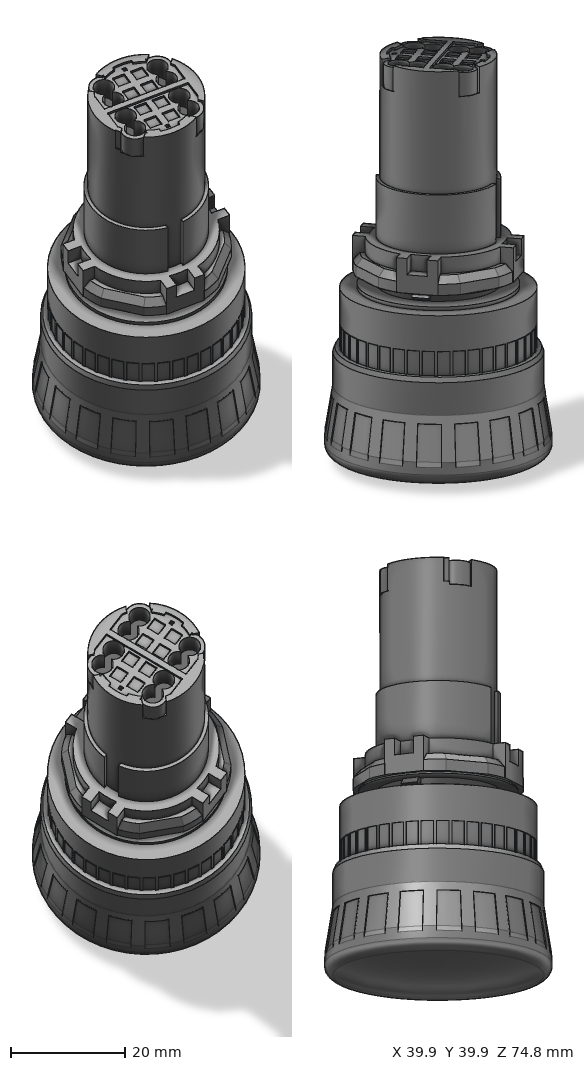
import cadquery as cq
import math

TOTAL_HEIGHT = 74.8
COLLAR_TOP = 52.45
TAB_TOP = 41.7
NUT_SHOULDER = 38.7
NUT_CHAMFER_START = 37.35
NUT_BOTTOM = 35.3
WASHER_BOTTOM = 35.0
GASKET_TOP = 33.0
BODY_TOP = 32.3
KNURL_TOP = 25.75
SKIRT_TOP = 21.3
CONE_TOP = 14.45
CONE_BOTTOM = 6.2
RIM_BOTTOM = 4.0
DOME_HEIGHT = 2.0

BARREL_DIAMETER = 20.5
COLLAR_DIAMETER = 21.85
WASHER_DIAMETER = 28.0
GASKET_DIAMETER = 28.5
BODY_DIAMETER = 34.6
SKIRT_DIAMETER = 37.0
BUTTON_DIAMETER = 39.9

SKIRT_CHAMFER_WIDTH = 0.4
SKIRT_CHAMFER_HEIGHT = 0.9
CONE_DIAMETER = 39.65
DOME_DIAMETER = 37.0

GRIP_COUNT = 18
GRIP_TOP = 12.9
GRIP_BOTTOM = 5.3
GRIP_DEPTH = 0.2
GRIP_ANGLE = 12.8

RIB_COUNT = 40
RIB_WIDTH = 0.5
RIB_HEIGHT = 0.15

NUT_DIAMETER = 29.8
NUT_FLAT_SPAN = 28.7
NUT_CHAMFER_WIDTH = 1.2
HUB_DIAMETER = 25.6
TAB_COUNT = 4
TAB_SPAN = 29.1
TAB_WIDTH = 7.5
TAB_SLOT_WIDTH = 3.6
TAB_SLOT_FLOOR_DIAMETER = 24.25

KEYWAY_WIDTH = 3.0
LUG_WIDTH = 3.1
LUG_ROOT_Y = 10.5
LUG_BACK_Y = 11.4
LUG_TIP_INNER = (11.5, 33.4)
LUG_TIP_OUTER = (12.4, 34.0)
LUG_ROOT_BOTTOM = 34.6

FACE_RECESS = 0.45
RECESS_DIAMETER = 18.2
RECESS_LENGTH = 16.0
LEDGE_DIAMETER = 17.05
LEDGE_START_Y = 1.9
LEDGE_END_Y = 4.2
LEDGE_MIN_X = 6.0
DIVIDER_WIDTH = 1.1
SOCKET_DIAMETER = 3.75
SOCKET_DEPTH = 4.5
SOCKET_INNER_X = 2.3
SOCKET_OUTER_X = 5.75
SOCKET_Y = 5.3
CONTACT_SIZE = 2.3
CONTACT_DEPTH = 0.45
CONTACT_INNER_X = 2.2
CONTACT_OUTER_X = 5.8
CONTACT_Y = 1.8
PIN_HOLE_SIZE = 0.7
PIN_HOLE_DEPTH = 1.5
PIN_HOLE_X = 7.9

SLOT_WIDTH = 4.2
SLOT_BOTTOM = 70.05
TUBE_DIAMETER = 5.3

STEP_BOTTOM = 70.6
STEP_WIDTH = 1.0
STEP_DEPTH = 0.2

FACE_Z = TOTAL_HEIGHT - FACE_RECESS


def disc(diameter, bottom, top):
    return cq.Workplane("XY").workplane(offset=bottom).circle(diameter / 2).extrude(top - bottom)


def block(x_range, y_range, z_range):
    x0, x1 = x_range
    y0, y1 = y_range
    z0, z1 = z_range
    return cq.Workplane("XY").box(x1 - x0, y1 - y0, z1 - z0, centered=False).translate((x0, y0, z0))


def holes(size, depth, points, square=False):
    plane = cq.Workplane("XY").workplane(offset=FACE_Z).pushPoints(points)
    outline = plane.rect(size, size) if square else plane.circle(size / 2)
    return outline.extrude(-depth)


def mirrored(xs, y):
    return [(sx * x, sy * y) for x in xs for sx in (-1, 1) for sy in (-1, 1)]


def turned_body():
    skirt_radius = SKIRT_DIAMETER / 2
    profile = (
        cq.Workplane("XZ")
        .moveTo(0, TOTAL_HEIGHT)
        .lineTo(BARREL_DIAMETER / 2, TOTAL_HEIGHT)
        .lineTo(BARREL_DIAMETER / 2, COLLAR_TOP)
        .lineTo(COLLAR_DIAMETER / 2, COLLAR_TOP)
        .lineTo(COLLAR_DIAMETER / 2, GASKET_TOP)
        .lineTo(GASKET_DIAMETER / 2, GASKET_TOP)
        .lineTo(GASKET_DIAMETER / 2, BODY_TOP)
        .lineTo(BODY_DIAMETER / 2, BODY_TOP)
        .lineTo(BODY_DIAMETER / 2, SKIRT_TOP)
        .lineTo(skirt_radius - SKIRT_CHAMFER_WIDTH, SKIRT_TOP)
        .lineTo(skirt_radius, SKIRT_TOP - SKIRT_CHAMFER_HEIGHT)
        .lineTo(skirt_radius, CONE_TOP)
        .lineTo(CONE_DIAMETER / 2, CONE_BOTTOM)
        .lineTo(BUTTON_DIAMETER / 2, RIM_BOTTOM)
        .tangentArcPoint((DOME_DIAMETER / 2, DOME_HEIGHT), relative=False)
    )
    dome_radius = ((DOME_DIAMETER / 2) ** 2 + DOME_HEIGHT**2) / (2 * DOME_HEIGHT)
    half_angle = math.asin(DOME_DIAMETER / 2 / dome_radius) / 2
    dome_middle = (dome_radius * math.sin(half_angle), dome_radius * (1 - math.cos(half_angle)))
    return profile.threePointArc(dome_middle, (0, 0)).close().revolve(360, (0, 0), (0, 1))


def grip_cutter():
    def cone_radius(z):
        fall = (CONE_TOP - z) / (CONE_TOP - CONE_BOTTOM)
        return (SKIRT_DIAMETER + fall * (CONE_DIAMETER - SKIRT_DIAMETER)) / 2

    rim_slope = (BUTTON_DIAMETER - CONE_DIAMETER) / 2 / (CONE_BOTTOM - RIM_BOTTOM)
    rim_radius = CONE_DIAMETER / 2 + rim_slope * (CONE_BOTTOM - GRIP_BOTTOM)
    outside = BUTTON_DIAMETER / 2 + GRIP_DEPTH
    sector = (
        cq.Workplane("XZ")
        .moveTo(cone_radius(GRIP_TOP) - GRIP_DEPTH, GRIP_TOP)
        .lineTo(cone_radius(CONE_BOTTOM) - GRIP_DEPTH, CONE_BOTTOM)
        .lineTo(rim_radius, GRIP_BOTTOM)
        .lineTo(outside, GRIP_BOTTOM)
        .lineTo(outside, GRIP_TOP)
        .close()
        .revolve(GRIP_ANGLE, (0, 0), (0, 1))
    )
    return sector.rotate((0, 0, 0), (0, 0, 1), -GRIP_ANGLE / 2)


def cut_grips(part):
    cutter = grip_cutter()
    for i in range(GRIP_COUNT):
        part = part.cut(cutter.rotate((0, 0, 0), (0, 0, 1), i * 360 / GRIP_COUNT))
    return part


def cut_knurl(part):
    pitch = 360 / RIB_COUNT
    band = disc(BODY_DIAMETER, SKIRT_TOP, KNURL_TOP)
    band = band.cut(disc(BODY_DIAMETER - 2 * RIB_HEIGHT, SKIRT_TOP, KNURL_TOP))
    ribs = (
        cq.Workplane("XY")
        .workplane(offset=SKIRT_TOP)
        .polarArray(BODY_DIAMETER / 2, pitch / 2, 360, RIB_COUNT)
        .rect(4 * RIB_HEIGHT, RIB_WIDTH)
        .extrude(KNURL_TOP - SKIRT_TOP)
    )
    return part.cut(band.cut(ribs))


def lock_nut():
    chamfer_height = NUT_SHOULDER - NUT_CHAMFER_START
    square = (
        cq.Workplane("XY")
        .workplane(offset=NUT_BOTTOM)
        .rect(NUT_FLAT_SPAN, NUT_FLAT_SPAN)
        .extrude(NUT_SHOULDER - NUT_BOTTOM)
        .faces(">Z")
        .chamfer(chamfer_height, NUT_CHAMFER_WIDTH)
        .rotate((0, 0, 0), (0, 0, 1), 45)
    )
    round_nut = disc(NUT_DIAMETER, NUT_BOTTOM, NUT_SHOULDER)
    round_nut = round_nut.faces(">Z").chamfer(chamfer_height, NUT_CHAMFER_WIDTH)
    nut = round_nut.intersect(square)
    nut = nut.union(disc(HUB_DIAMETER, NUT_BOTTOM, TAB_TOP))
    nut = nut.union(disc(WASHER_DIAMETER, WASHER_BOTTOM, NUT_BOTTOM))

    half_span = TAB_SPAN / 2
    across = (-half_span, half_span)
    nut = nut.intersect(block(across, across, (WASHER_BOTTOM, TAB_TOP)))

    half_tab = TAB_WIDTH / 2
    half_slot = TAB_SLOT_WIDTH / 2
    tab = block((0, half_span), (-half_tab, half_tab), (NUT_BOTTOM, TAB_TOP))
    slot = block((0, half_span), (-half_slot, half_slot), (NUT_SHOULDER, TAB_TOP))
    slot = slot.cut(disc(TAB_SLOT_FLOOR_DIAMETER, NUT_SHOULDER, TAB_TOP))
    for i in range(TAB_COUNT):
        angle = i * 360 / TAB_COUNT
        nut = nut.union(tab.rotate((0, 0, 0), (0, 0, 1), angle))
        nut = nut.cut(slot.rotate((0, 0, 0), (0, 0, 1), angle))
    return nut.cut(disc(COLLAR_DIAMETER, WASHER_BOTTOM, TAB_TOP))


def cut_keyways(part):
    half = KEYWAY_WIDTH / 2
    reach = COLLAR_DIAMETER / 2
    keyways = block((-reach, reach), (-half, half), (TAB_TOP, COLLAR_TOP))
    return part.cut(keyways.cut(disc(BARREL_DIAMETER, TAB_TOP, COLLAR_TOP)))


def add_lugs(part):
    lug = (
        cq.Workplane("YZ")
        .polyline(
            [
                (LUG_ROOT_Y, LUG_ROOT_BOTTOM),
                LUG_TIP_INNER,
                LUG_TIP_OUTER,
                (LUG_BACK_Y, NUT_BOTTOM),
                (LUG_ROOT_Y, NUT_BOTTOM),
            ]
        )
        .close()
        .extrude(LUG_WIDTH / 2, both=True)
    )
    return part.union(lug).union(lug.mirror("XZ"))


def face_recess():
    half_length = RECESS_LENGTH / 2
    reach = RECESS_DIAMETER / 2
    depth = (FACE_Z, TOTAL_HEIGHT)
    recess = disc(RECESS_DIAMETER, *depth).intersect(
        block((-reach, reach), (-half_length, half_length), depth)
    )
    rim = disc(RECESS_DIAMETER, *depth).cut(disc(LEDGE_DIAMETER, *depth))
    ledge = rim.intersect(block((LEDGE_MIN_X, reach), (LEDGE_START_Y, LEDGE_END_Y), depth))
    for side_ledge in (ledge, ledge.mirror("XZ")):
        recess = recess.cut(side_ledge).cut(side_ledge.mirror("YZ"))
    half_divider = DIVIDER_WIDTH / 2
    return recess.cut(block((-half_divider, half_divider), (-half_length, half_length), depth))


def add_socket_tubes(part):
    slot_start = math.hypot(SOCKET_OUTER_X, SOCKET_Y)
    half = SLOT_WIDTH / 2
    reach = slot_start + TUBE_DIAMETER / 2
    slot = block((slot_start, reach), (-half, half), (SLOT_BOTTOM, TOTAL_HEIGHT))
    tube = disc(TUBE_DIAMETER, SLOT_BOTTOM, FACE_Z).translate((slot_start, 0, 0)).intersect(slot)
    for x, y in mirrored([SOCKET_OUTER_X], SOCKET_Y):
        angle = math.degrees(math.atan2(y, x))
        part = part.cut(slot.rotate((0, 0, 0), (0, 0, 1), angle))
        part = part.union(tube.rotate((0, 0, 0), (0, 0, 1), angle))
    return part


def cut_key_step(part):
    half = SLOT_WIDTH / 2
    step = block((0, BARREL_DIAMETER / 2), (-half - STEP_WIDTH, -half), (STEP_BOTTOM, TOTAL_HEIGHT))
    step = step.cut(disc(BARREL_DIAMETER - 2 * STEP_DEPTH, STEP_BOTTOM, TOTAL_HEIGHT))
    angle = math.degrees(math.atan2(-SOCKET_Y, SOCKET_OUTER_X))
    return part.cut(step.rotate((0, 0, 0), (0, 0, 1), angle))


def cut_terminal_face(part):
    part = part.cut(face_recess())
    part = add_socket_tubes(part)
    part = cut_key_step(part)
    sockets = mirrored([SOCKET_INNER_X, SOCKET_OUTER_X], SOCKET_Y)
    contacts = mirrored([CONTACT_INNER_X, CONTACT_OUTER_X], CONTACT_Y)
    pins = [(-PIN_HOLE_X, 0), (PIN_HOLE_X, 0)]
    for socket in sockets:
        part = part.cut(holes(SOCKET_DIAMETER, SOCKET_DEPTH, [socket]))
    part = part.cut(holes(CONTACT_SIZE, CONTACT_DEPTH, contacts, square=True))
    return part.cut(holes(PIN_HOLE_SIZE, PIN_HOLE_DEPTH, pins, square=True))


result = turned_body()
result = cut_grips(result)
result = cut_knurl(result)
result = cut_keyways(result)
result = result.union(lock_nut())
result = add_lugs(result)
result = cut_terminal_face(result)